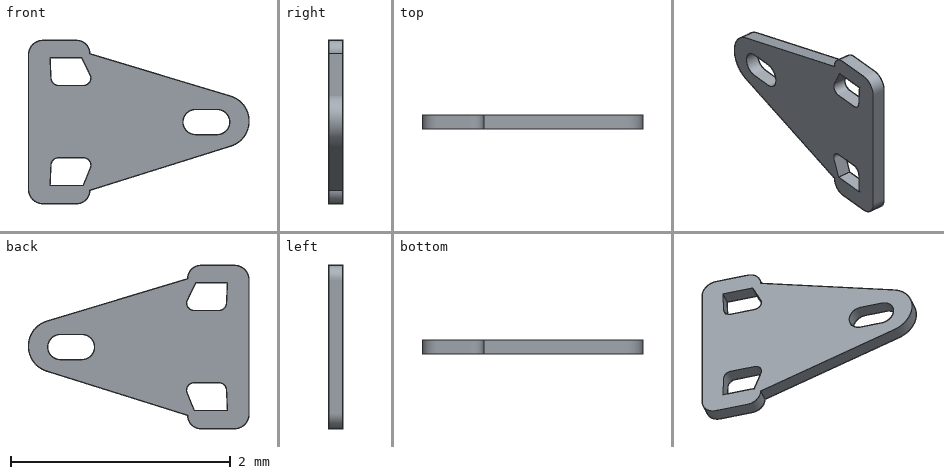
import cadquery as cq

length = 2.01
height = 1.49
thickness = 0.13
half_height = height / 2

outer_corner_radius = 0.135
flange_width = 0.56
shoulder_radius = 0.123
shoulder_z = half_height - shoulder_radius

tip_radius = 0.24
tip_offset_z = 0.008
tip_half_chord = 0.227
tip_center_x = length - tip_radius
tip_start_x = tip_center_x + (tip_radius**2 - tip_half_chord**2) ** 0.5

slot_center_x = 1.62
slot_length = 0.425
slot_width = 0.227

window_left = 0.199
window_inner_left = 0.207
window_outer_z = 0.58
window_inner_z = 0.33
window_bulge_x = 0.567
window_bulge_z = 0.412
window_arc_start_x = 0.5
window_corner_radius = 0.068
upper_window_right = 0.485
lower_window_right = 0.498
window_shift_z = 0.005


def plate():
    outline = (
        cq.Workplane("XZ")
        .moveTo(0, outer_corner_radius - half_height)
        .lineTo(0, half_height - outer_corner_radius)
        .tangentArcPoint((outer_corner_radius, half_height), relative=False)
        .lineTo(flange_width - shoulder_radius, half_height)
        .tangentArcPoint((flange_width, shoulder_z), relative=False)
        .lineTo(tip_start_x, tip_offset_z + tip_half_chord)
        .threePointArc((length, tip_offset_z), (tip_start_x, tip_offset_z - tip_half_chord))
        .lineTo(flange_width, -shoulder_z)
        .radiusArc((flange_width - shoulder_radius, -half_height), shoulder_radius)
        .lineTo(outer_corner_radius, -half_height)
        .radiusArc((0, outer_corner_radius - half_height), outer_corner_radius)
        .close()
    )
    return outline.extrude(-thickness)


def window(side, outer_right):
    """Window cutter; side is +1 above mid-height and -1 below it."""

    def at(x, z):
        return (x, side * z + window_shift_z)

    return (
        cq.Workplane("XZ")
        .moveTo(*at(window_left, window_outer_z))
        .lineTo(*at(window_inner_left, window_inner_z + window_corner_radius))
        .radiusArc(
            at(window_inner_left + window_corner_radius, window_inner_z),
            -side * window_corner_radius,
        )
        .lineTo(*at(window_arc_start_x, window_inner_z))
        .tangentArcPoint(at(window_bulge_x, window_bulge_z), relative=False)
        .lineTo(*at(outer_right, window_outer_z))
        .close()
        .extrude(-thickness)
    )


slot = (
    cq.Workplane("XZ")
    .center(slot_center_x, 0)
    .slot2D(slot_length, slot_width)
    .extrude(-thickness)
)

result = (
    plate()
    .cut(slot)
    .cut(window(1, upper_window_right))
    .cut(window(-1, lower_window_right))
)